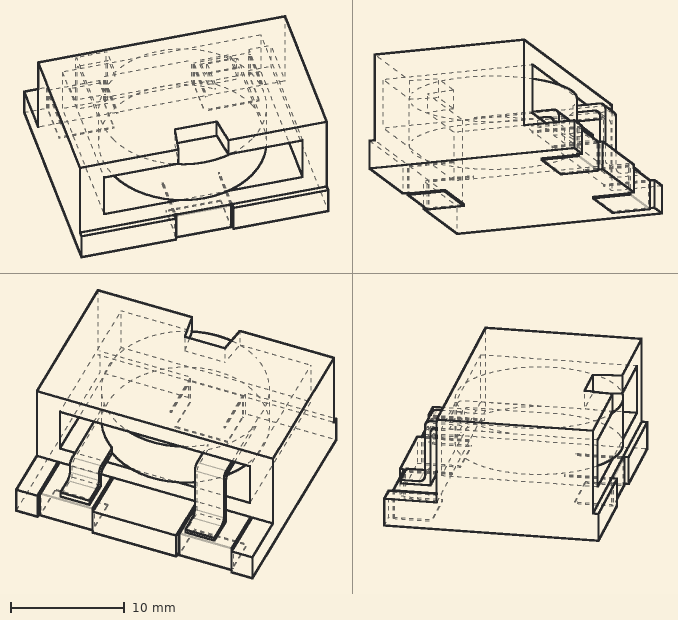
import cadquery as cq
base_x = 19.2
base_y = 22.5
clip_t = 0.14
base_bottom = clip_t
base_top = 2.68
base_left = -base_x / 2
base_right = base_x / 2

total_z = 10.5
core_left = base_left + 4.7
core_right = base_right - 0.5
window_y = 18.1
window_bottom = 4.36
window_top = 8.8

notch_depth = 2.56
notch_inner_y = 3.82
notch_outer_y = 4.55

clip_y = 5.0
recess_y = 5.25
clip_inset = 0.35
clip_leg = 3.49
clip_corner_r = 0.07
left_clip_offset = 6.62
recess_inset = clip_inset + clip_t

coil_d = 14.78
coil_x = (core_left + core_right) / 2
coil_bottom = 4.4
coil_top = 8.75
lead_t = 0.5
lead_run_t = 0.6
lead_y = 2.77
lead_bend_r = 0.55
lead_span = 14.67
lead_offset = (lead_span - lead_y) / 2
foot_left = base_left + 0.7
lead_left = base_left + 2.88
high_foot_t = 0.32
low_foot_t = lead_t


def block(x0, x1, width, z0, z1, y=0.0):
    """Box between two X and two Z limits, centred on y."""
    return (
        cq.Workplane("XY")
        .box(x1 - x0, width, z1 - z0, centered=(False, True, False))
        .translate((x0, y, z0))
    )


def make_clip(y):
    """C-shaped sheet clip around the -X edge of the base."""
    face_x = base_left + clip_inset
    outer = block(face_x, core_left, clip_y, 0, base_top, y).edges("<X and |Y").fillet(clip_corner_r)
    inside = block(face_x + clip_t, core_left, clip_y, clip_t, base_top - clip_t, y)
    leg_end = block(face_x + clip_leg, core_left, clip_y, 0, clip_t, y)
    return outer.cut(inside).cut(leg_end)


def make_recess(y):
    """Cutter for the front and top of the base where a -X clip sits."""
    front = block(base_left, base_left + recess_inset, recess_y, base_bottom, base_top, y)
    top = block(base_left, core_left, recess_y, base_top - clip_t, base_top, y)
    return front.union(top)


def make_notch():
    """Cutter through the core roof, widening towards the +X face."""
    return (
        cq.Workplane("XY", origin=(0, 0, window_top))
        .polyline([
            (core_right - notch_depth, -notch_inner_y / 2),
            (core_right, -notch_outer_y / 2),
            (core_right, notch_outer_y / 2),
            (core_right - notch_depth, notch_inner_y / 2),
        ])
        .close()
        .extrude(total_z - window_top)
    )


def make_housing():
    base = block(base_left, base_right, base_y, base_bottom, base_top)
    core = block(core_left, core_right, base_y, base_top, total_z)
    core = core.cut(block(core_left, core_right, window_y, window_bottom, window_top))
    core = core.cut(make_notch())

    clips = [make_clip(y) for y in (-left_clip_offset, left_clip_offset)]
    recesses = [make_recess(y) for y in (-left_clip_offset, left_clip_offset)]
    clips.append(make_clip(0).mirror("YZ"))
    recesses.append(make_recess(0).mirror("YZ"))

    for recess in recesses:
        base = base.cut(recess)
    housing = base.union(core)
    for clip in clips:
        housing = housing.union(clip)
    return housing


def make_lead(y, top_z, foot_t):
    """Strip running out of the coil, down to the clip and out into a foot."""
    foot_top = base_top + foot_t
    lead_right = lead_left + lead_t
    profile = (
        cq.Workplane("XZ", origin=(0, y + lead_y / 2, 0))
        .moveTo(foot_left, base_top)
        .lineTo(foot_left, foot_top)
        .lineTo(lead_left - lead_bend_r, foot_top)
        .radiusArc((lead_left, foot_top + lead_bend_r), -lead_bend_r)
        .lineTo(lead_left, top_z - lead_bend_r)
        .radiusArc((lead_left + lead_bend_r, top_z), lead_bend_r)
        .lineTo(coil_x, top_z)
        .lineTo(coil_x, top_z - lead_run_t)
        .lineTo(lead_right + lead_bend_r, top_z - lead_run_t)
        .radiusArc((lead_right, top_z - lead_run_t - lead_bend_r), -lead_bend_r)
        .lineTo(lead_right, base_top)
        .close()
    )
    return profile.extrude(lead_y)


def make_winding():
    coil = (
        cq.Workplane("XY", origin=(coil_x, 0, coil_bottom))
        .circle(coil_d / 2)
        .extrude(coil_top - coil_bottom)
    )
    high_lead = make_lead(-lead_offset, coil_top, high_foot_t)
    low_lead = make_lead(lead_offset, coil_bottom + lead_run_t, low_foot_t)
    return coil.union(high_lead).union(low_lead)


housing = make_housing()
winding = make_winding()

result = cq.Compound.makeCompound([housing.val(), winding.val()])